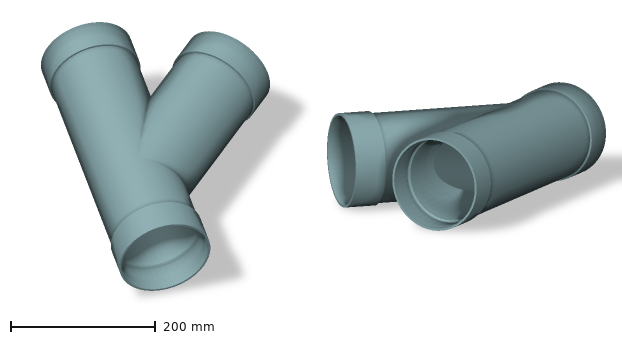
import cadquery as cq
import math

run_length = 393.0
branch_length = 258.5
junction_x = 258.5
branch_angle = math.radians(45)

socket_diameter = 131.0
pipe_diameter = 125.0
bore_diameter = 119.0
socket_bore_diameter = pipe_diameter
socket_length = 43.2
wall = (pipe_diameter - bore_diameter) / 2
seat_depth = socket_length - wall

branch_x = math.cos(branch_angle)
branch_y = math.sin(branch_angle)
left_mouth = cq.Plane(origin=(0, 0, 0), xDir=(0, 0, 1), normal=(1, 0, 0))
right_mouth = cq.Plane(origin=(run_length, 0, 0), xDir=(0, 0, 1), normal=(-1, 0, 0))
branch_mouth = cq.Plane(
    origin=(junction_x - branch_length * branch_x, branch_length * branch_y, 0),
    xDir=(0, 0, 1),
    normal=(branch_x, -branch_y, 0),
)
mouths = (left_mouth, right_mouth, branch_mouth)


def cylinder(mouth, diameter, length):
    """Cylinder running from a mouth into the fitting."""
    return cq.Workplane(mouth).circle(diameter / 2).extrude(length)


def socket_recess(mouth):
    """Straight seat for a pipe, followed by a taper down to the bore."""
    profile = [
        (0, 0),
        (socket_bore_diameter / 2, 0),
        (socket_bore_diameter / 2, seat_depth),
        (bore_diameter / 2, socket_length),
        (0, socket_length),
    ]
    half_section = cq.Workplane("XZ").polyline(profile).close()
    recess = half_section.revolve(360, (0, 0, 0), (0, 1, 0))
    return recess.val().moved(cq.Location(mouth))


def run_and_branch(diameter):
    """Full-length run joined by the branch, both of one diameter."""
    run = cylinder(left_mouth, diameter, run_length)
    branch = cylinder(branch_mouth, diameter, branch_length)
    return run.union(branch)


result = run_and_branch(pipe_diameter)
for mouth in mouths:
    result = result.union(cylinder(mouth, socket_diameter, socket_length))

result = result.cut(run_and_branch(bore_diameter))
for mouth in mouths:
    result = result.cut(socket_recess(mouth))